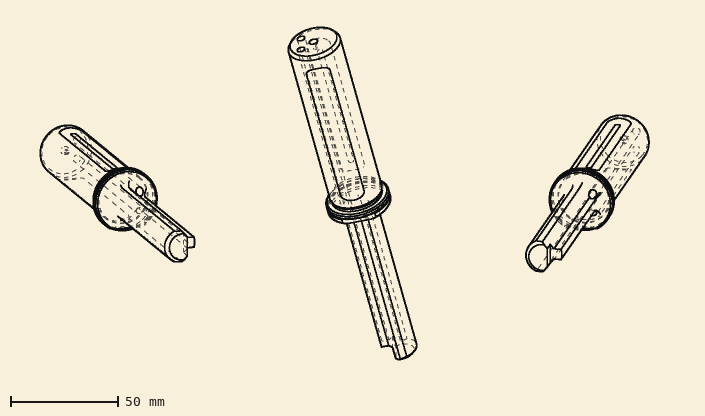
import cadquery as cq
import math

length = 180.0
shank_end = 87.3
flange_start = 89.6
flange_split = 92.2
flange_end = 95.2

shank_diameter = 25.0
shank_radius = shank_diameter / 2
relief_radius = 12.0
relief_ramp = 1.0
flange_diameter = 30.0
flange_radius = flange_diameter / 2
flange_chamfer = 0.7
flange_groove = 0.5
drill_radius = 8.1
neck_fillet = 3.8
shank_chamfer_length = 1.8
shank_chamfer_depth = 1.3
tip_chamfer = 1.8

flat_height = 11.2
flat_start = 10.0
flat_end = 80.0
runout_length = 3.2

groove_start = 12.2
groove_end = 78.0
groove_width = 2.5
groove_radius = 2.0

flange_flat = 12.8

land_edge = -3.2
web_width = 4.3
web_height = 2.5

seat_length = 6.3
seat_floor = 2.5

coolant_y = 6.0
coolant_z = 4.5
coolant_diameter = 3.6
centre_diameter = 4.0
centre_small_diameter = 1.8
centre_pilot_depth = 1.8
centre_cone_angle = 60.0


def turned_body():
    rim = flange_radius - flange_chamfer
    return (
        cq.Workplane("XY")
        .moveTo(0, 0)
        .lineTo(0, shank_radius - shank_chamfer_depth)
        .lineTo(shank_chamfer_length, shank_radius)
        .lineTo(shank_end, shank_radius)
        .lineTo(shank_end + relief_ramp, relief_radius)
        .lineTo(flange_start, relief_radius)
        .lineTo(flange_start, rim)
        .lineTo(flange_start + flange_chamfer, flange_radius)
        .lineTo(flange_split - flange_groove / 2, flange_radius)
        .lineTo(flange_split, rim)
        .lineTo(flange_split + flange_groove / 2, flange_radius)
        .lineTo(flange_end - flange_chamfer, flange_radius)
        .lineTo(flange_end, rim)
        .lineTo(flange_end, drill_radius + neck_fillet)
        .radiusArc((flange_end + neck_fillet, drill_radius), -neck_fillet)
        .lineTo(length - tip_chamfer, drill_radius)
        .lineTo(length, drill_radius - tip_chamfer)
        .lineTo(length, 0)
        .close()
        .revolve(360, (0, 0, 0), (1, 0, 0))
    )


def clamping_flat():
    """Cutter whose ends sweep up from the flat in arcs tangent to it."""
    rise = shank_radius - flat_height
    radius = (runout_length**2 + rise**2) / (2 * rise)
    half_angle = math.asin(runout_length / radius) / 2
    mid_run = radius * math.sin(half_angle)
    mid_height = flat_height + radius * (1 - math.cos(half_angle))
    return (
        cq.Workplane("XZ")
        .moveTo(flat_start, flat_height)
        .lineTo(flat_end, flat_height)
        .threePointArc((flat_end + mid_run, mid_height), (flat_end + runout_length, shank_radius))
        .lineTo(flat_start - runout_length, shank_radius)
        .threePointArc((flat_start - mid_run, mid_height), (flat_start, flat_height))
        .close()
        .extrude(shank_radius, both=True)
    )


def round_groove():
    """Path of a ball cutter whose centre runs above the flat."""
    half_width = groove_width / 2
    axis_height = flat_height + math.sqrt(groove_radius**2 - half_width**2)
    axis_start = groove_start + half_width
    axis_end = groove_end - half_width
    rod = (
        cq.Workplane("YZ")
        .workplane(offset=axis_start)
        .center(0, axis_height)
        .circle(groove_radius)
        .extrude(axis_end - axis_start)
    )
    ball = cq.Workplane("XY").sphere(groove_radius)
    return (
        rod.union(ball.translate((axis_start, 0, axis_height)))
        .union(ball.translate((axis_end, 0, axis_height)))
    )


def flange_locating_flat():
    return (
        cq.Workplane("XY")
        .box(flange_end - flange_split, 2 * flange_radius, flange_radius, centered=(False, True, False))
        .translate((flange_split, 0, -flange_flat - flange_radius))
    )


def space_above_face(y, z, tilt):
    """Cutter over a lengthwise face through (y, z) that curves up into the flange."""
    reach = 2 * flange_radius
    return (
        cq.Workplane("XZ")
        .moveTo(flange_end, neck_fillet)
        .radiusArc((flange_end + neck_fillet, 0), -neck_fillet)
        .lineTo(length, 0)
        .lineTo(length, reach)
        .lineTo(flange_end, reach)
        .close()
        .extrude(reach, both=True)
        .rotate((0, 0, 0), (1, 0, 0), tilt)
        .translate((0, y, z))
    )


def chip_flute():
    """Land on top of the round bar, then a slope down to the floor of the flute."""
    land_height = math.sqrt(drill_radius**2 - land_edge**2)
    slope = math.degrees(math.atan2(land_height - web_height, web_width))
    above_land = space_above_face(0, land_height, 0)
    above_slope = space_above_face(0, land_height, -slope)
    above_floor = space_above_face(0, web_height, 0)
    return above_land.union(above_slope.intersect(above_floor))


def insert_seat():
    return (
        cq.Workplane("XY")
        .box(seat_length, drill_radius, 2 * drill_radius, centered=(False, False, True))
        .translate((length - seat_length, seat_floor, 0))
    )


def coolant_hole():
    return (
        cq.Workplane("YZ")
        .center(coolant_y, coolant_z)
        .circle(coolant_diameter / 2)
        .extrude(length)
    )


def centre_hole():
    half_cone = math.radians(centre_cone_angle / 2)
    cone_depth = (centre_diameter - centre_small_diameter) / 2 / math.tan(half_cone)
    return (
        cq.Workplane("XY")
        .lineTo(0, centre_diameter / 2)
        .lineTo(cone_depth, centre_small_diameter / 2)
        .lineTo(cone_depth + centre_pilot_depth, centre_small_diameter / 2)
        .lineTo(cone_depth + centre_pilot_depth, 0)
        .close()
        .revolve(360, (0, 0, 0), (1, 0, 0))
    )


result = (
    turned_body()
    .cut(clamping_flat())
    .cut(clamping_flat().mirror("XY"))
    .cut(round_groove())
    .cut(flange_locating_flat())
    .cut(chip_flute())
    .cut(chip_flute().mirror("XY"))
    .cut(insert_seat())
    .cut(coolant_hole())
    .cut(coolant_hole().mirror("XY"))
    .cut(centre_hole())
)